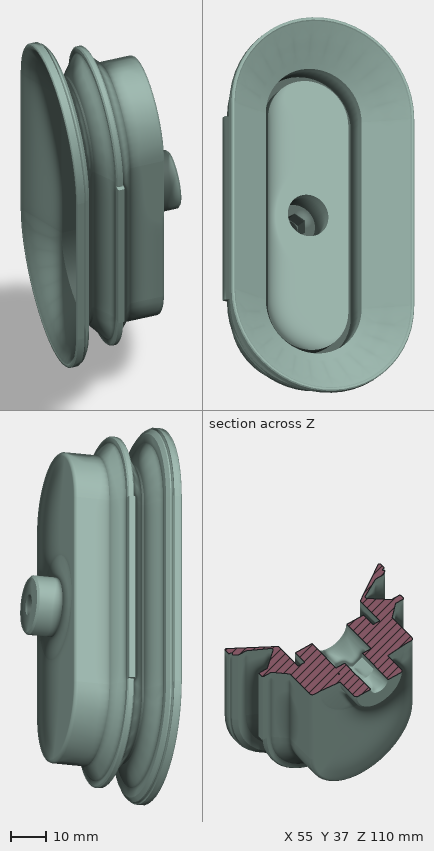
import cadquery as cq
import math


total_width = 55.0
total_length = 110.0
total_depth = 37.0
straight_length = total_length - total_width
half_straight = straight_length / 2

lip_radius = total_width / 2
lip_chamfer = 0.3
lip_thickness = 2.3
groove_radius = 26.5
groove_y = 2.6
groove_half_width = groove_y - lip_thickness
bead_radius = 26.9
bead_front_y = groove_y + groove_half_width
bead_bevel_y = 3.3
bead_back_y = 4.2
bead_back_radius = 25.6
lip_cone_radius = 22.9

neck_radius = 16.5
neck_start_y = 7.8
neck_end_y = 8.4
fold_radius = 22.0
ring_radius = 23.85
ring_start_y = 13.0
ring_end_y = 15.0
ring_chamfer = 0.4

bar_half_width = 25.1
bar_half_length = 27.0
bar_chamfer = 0.3

body_radius = 18.1
body_start_y = 18.7
body_end_y = 29.0
body_round = 1.0

boss_radius = 8.5
boss_chamfer = 0.6
foot_radius = 15.0
foot_height = 0.6

mouth_radius = 26.7
mouth_chamfer = 0.3
throat_radius = 14.4
throat_y = 8.2
plateau_radius = 12.1
plateau_y = 13.0
moat_floor_y = 17.5

bore_radius = 6.1
bore_depth = 11.5
hex_across_flats = 6.2
hex_depth = 6.0
passage_radius = 3.0


def oblong_solid(half_profile):
    """Sweep a closed (radius, y) wire around the slot path: two half turns and a straight run."""
    section = half_profile.val()
    straight = cq.Workplane("XY").add(section).toPending().extrude(straight_length)
    straight = straight.union(straight.mirror("YZ")).translate((0, 0, -half_straight))
    upper_end = cq.Workplane("XY").add(section).toPending().revolve(180, (0, 0, 0), (0, -1, 0))
    upper_end = upper_end.translate((0, 0, half_straight))
    lower_end = upper_end.mirror("XY")
    return straight.union(upper_end).union(lower_end)


def along_axis(radius, start_y, end_y):
    """Round cylinder on the cup axis."""
    return cq.Workplane("XZ", origin=(0, start_y, 0)).circle(radius).extrude(start_y - end_y)


def make_outer_shell():
    body_arc_inset = body_round * (1 - math.sqrt(0.5))
    profile = (
        cq.Workplane("XY")
        .moveTo(0, 0)
        .lineTo(lip_radius - lip_chamfer, 0)
        .lineTo(lip_radius, lip_chamfer)
        .lineTo(lip_radius, lip_thickness)
        .lineTo(bead_radius, lip_thickness)
        .lineTo(groove_radius, groove_y)
        .lineTo(bead_radius, bead_front_y)
        .lineTo(bead_radius, bead_bevel_y)
        .lineTo(bead_back_radius, bead_back_y)
        .lineTo(lip_cone_radius, bead_back_y)
        .lineTo(neck_radius, neck_start_y)
        .lineTo(neck_radius, neck_end_y)
        .lineTo(fold_radius, ring_start_y)
        .lineTo(ring_radius - ring_chamfer, ring_start_y)
        .lineTo(ring_radius, ring_start_y + ring_chamfer)
        .lineTo(ring_radius, ring_end_y - ring_chamfer)
        .lineTo(ring_radius - ring_chamfer, ring_end_y)
        .lineTo(fold_radius, ring_end_y)
        .lineTo(body_radius, body_start_y)
        .lineTo(body_radius, body_end_y - body_round)
        .threePointArc(
            (body_radius - body_arc_inset, body_end_y - body_arc_inset),
            (body_radius - body_round, body_end_y),
        )
        .lineTo(0, body_end_y)
        .close()
    )
    return oblong_solid(profile)


def make_side_bars():
    """One chamfered slab through the part; only its edges stand out of the fold ring."""
    bar_thickness = ring_end_y - ring_start_y
    slab = cq.Workplane("XY").box(2 * bar_half_width, bar_thickness, 2 * bar_half_length)
    slab = slab.edges("|Z").chamfer(bar_chamfer)
    return slab.translate((0, (ring_start_y + ring_end_y) / 2, 0))


def make_boss():
    """Cone foot and chamfered cylinder, turned about the cup axis."""
    return (
        cq.Workplane("XY")
        .moveTo(0, body_end_y)
        .lineTo(foot_radius, body_end_y)
        .lineTo(boss_radius, body_end_y + foot_height)
        .lineTo(boss_radius, total_depth - boss_chamfer)
        .lineTo(boss_radius - boss_chamfer, total_depth)
        .lineTo(0, total_depth)
        .close()
        .revolve(360, (0, 0, 0), (0, 1, 0))
    )


def make_interior():
    """Flared mouth, straight throat and the moat around the raised plateau."""
    profile = (
        cq.Workplane("XY")
        .moveTo(0, 0)
        .lineTo(mouth_radius, 0)
        .lineTo(mouth_radius - mouth_chamfer, mouth_chamfer)
        .lineTo(throat_radius, throat_y)
        .lineTo(throat_radius, moat_floor_y)
        .lineTo(plateau_radius, moat_floor_y)
        .lineTo(plateau_radius, plateau_y)
        .lineTo(0, plateau_y)
        .close()
    )
    return oblong_solid(profile)


def make_air_passage():
    """Round bore, then a hexagon with its corners on Z, then a round through hole."""
    bore_end_y = plateau_y + bore_depth
    hex_across_corners = hex_across_flats / math.cos(math.pi / 6)
    bore = along_axis(bore_radius, plateau_y, bore_end_y)
    hexagon = (
        cq.Workplane("XZ", origin=(0, bore_end_y, 0))
        .transformed(rotate=(0, 0, 90))
        .polygon(6, hex_across_corners)
        .extrude(-hex_depth)
    )
    through_hole = along_axis(passage_radius, plateau_y, total_depth)
    return bore.union(hexagon).union(through_hole)


cup = make_outer_shell().union(make_side_bars()).union(make_boss())
result = cup.cut(make_interior()).cut(make_air_passage())